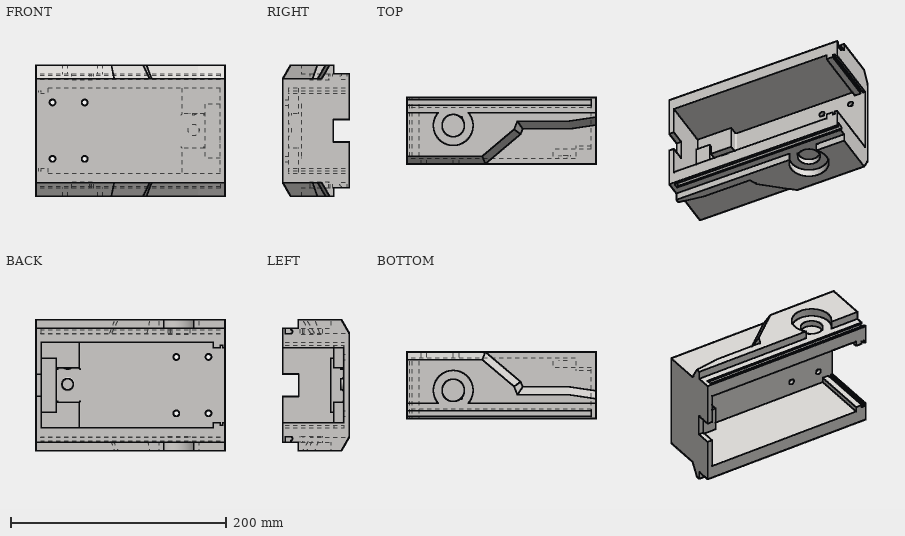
import cadquery as cq
import math


length = 176.0
depth = 62.0
height = 122.0
half_height = height / 2

flank_rise = 12.7
flank_draft = 30.0
core_height = height - 2 * flank_rise
flank_base_front = [
    (72.9, 0.0),
    (105.8, 27.8),
    (107.7, 32.5),
    (151.4, 32.5),
    (176.0, 36.3),
]

rebate_width = 14.3
rebate_drop = 8.0
rebate_height = half_height - rebate_drop
groove_offset = 2.3
groove_width = 5.1
groove_depth = 5.1
groove_length = 171.5
groove_bead_radius = 1.8

front_wall = 5.3
end_wall = 5.0
channel_half = 34.8
chamber_start = 11.0
chamber_undercut = 5.0
chamber_half = channel_half + chamber_undercut
panel_slot_start = 2.1
panel_slot_width = 2.5
panel_slot_depth = 2.5
end_notch_half = 10.4
end_notch_depth = 14.8

inner_end = length - end_wall
side_block_length = 35.2
side_block_height = 9.0
side_block_inner = 16.0
middle_block_length = 14.0
middle_block_height = 11.8
middle_block_half = 25.2
boss_radius = 5.3
boss_height = 2.6
boss_x = inner_end - side_block_length / 2 - middle_block_length / 2
middle_boss_z = 0.9
upper_boss_z = 20.2
foot_fillet = 1.5

button_x = 43.1
button_y = depth - 26.2
button_seat_radius = 18.5
button_bore_radius = 10.4
button_bore_depth = 5.8
key_angle = 45.0
key_radius = 0.9
key_depth = 5.0

screw_diameter = 5.3
screw_x = (15.5, 45.4)
screw_z = 26.2


def block(x_range, y_range, z_range):
    """Axis-aligned box between the given limits."""
    (x0, x1), (y0, y1), (z0, z1) = x_range, y_range, z_range
    return cq.Workplane("XY").box(x1 - x0, y1 - y0, z1 - z0, centered=False).translate((x0, y0, z0))


def with_mirror(shape):
    """The shape together with its reflection in Z = 0."""
    return shape.union(shape.mirror("XY"))


def raised_flank():
    """Upper raised area; its border is drafted, its other sides are trimmed to the envelope."""
    margin = 2 * flank_rise
    (bend_x, bend_y), (end_x, end_y) = flank_base_front[-2:]
    end_slope = (end_y - bend_y) / (end_x - bend_x)
    outline = [
        (-margin, 0.0),
        *flank_base_front[:-1],
        (length + margin, end_y + margin * end_slope),
        (length + margin, depth + margin),
        (-margin, depth + margin),
    ]
    inset = flank_rise * math.tan(math.radians(flank_draft))
    base = cq.Workplane("XY", origin=(0, 0, core_height / 2)).polyline(outline).close()
    crest = base.offset2D(-inset, "intersection").translate((0, 0, flank_rise))
    flank = cq.Workplane(cq.Solid.makeLoft([base.val(), crest.val()], True))
    return flank.intersect(block((0, length), (0, depth), (0, half_height)))


def rear_rebate():
    return block((0, length), (depth - rebate_width, depth), (rebate_height, half_height))


def undercut_groove():
    groove_front = depth - groove_offset - groove_width
    groove_bottom = rebate_height - groove_depth
    slot = block(
        (0, groove_length),
        (groove_front, depth - groove_offset),
        (groove_bottom, rebate_height),
    )
    bead = (
        cq.Workplane("YZ")
        .center(groove_front, groove_bottom + groove_bead_radius)
        .circle(groove_bead_radius)
        .extrude(groove_length)
    )
    return slot.union(bead)


def button_seat():
    def bore(x, y, radius, bottom, top):
        return cq.Workplane("XY", origin=(x, y, bottom)).circle(radius).extrude(top - bottom)

    seat = bore(button_x, button_y, button_seat_radius, rebate_height, half_height)
    hole = bore(button_x, button_y, button_bore_radius, rebate_height - button_bore_depth, rebate_height)
    key = bore(button_x + button_bore_radius, button_y, key_radius, rebate_height - key_depth, rebate_height)
    axis_start = (button_x, button_y, 0)
    axis_end = (button_x, button_y, 1)
    return seat.union(hole).union(key.rotate(axis_start, axis_end, key_angle))


def boss(z):
    return cq.Workplane("XZ", origin=(boss_x, front_wall, z)).circle(boss_radius).extrude(-boss_height)


def wall_details():
    side_block = block(
        (inner_end - side_block_length, inner_end),
        (front_wall, front_wall + side_block_height),
        (side_block_inner, chamber_half),
    )
    middle_block = block(
        (inner_end - middle_block_length, inner_end),
        (front_wall, front_wall + middle_block_height),
        (-middle_block_half, middle_block_half),
    )
    return with_mirror(side_block).union(middle_block).union(boss(middle_boss_z))


def interior():
    y_range = (front_wall, depth)
    slot_half = channel_half + panel_slot_depth
    slot_end = panel_slot_start + panel_slot_width
    channel = block((0, chamber_start), y_range, (-channel_half, channel_half))
    panel_slot = block((panel_slot_start, slot_end), y_range, (-slot_half, slot_half))
    notch = block((inner_end, length), (depth - end_notch_depth, depth), (-end_notch_half, end_notch_half))
    chamber = block((chamber_start, inner_end), y_range, (-chamber_half, chamber_half)).cut(wall_details())
    closed_end_zone = cq.selectors.BoxSelector(
        (inner_end - 2 * side_block_length, front_wall - foot_fillet / 2, -chamber_half + foot_fillet),
        (length, front_wall + foot_fillet / 2, chamber_half - foot_fillet),
    )
    chamber = chamber.faces("<Y").edges(closed_end_zone).fillet(foot_fillet)
    chamber = chamber.cut(boss(upper_boss_z))
    return channel.union(chamber).union(panel_slot).union(notch)


def screw_holes():
    points = [(x, z) for x in screw_x for z in (-screw_z, screw_z)]
    return cq.Workplane("XZ").pushPoints(points).circle(screw_diameter / 2).extrude(-front_wall)


core = block((0, length), (0, depth), (-core_height / 2, core_height / 2))
result = (
    core.union(with_mirror(raised_flank()))
    .cut(with_mirror(rear_rebate()))
    .cut(with_mirror(undercut_groove()))
    .cut(with_mirror(button_seat()))
    .cut(interior())
    .cut(screw_holes())
)